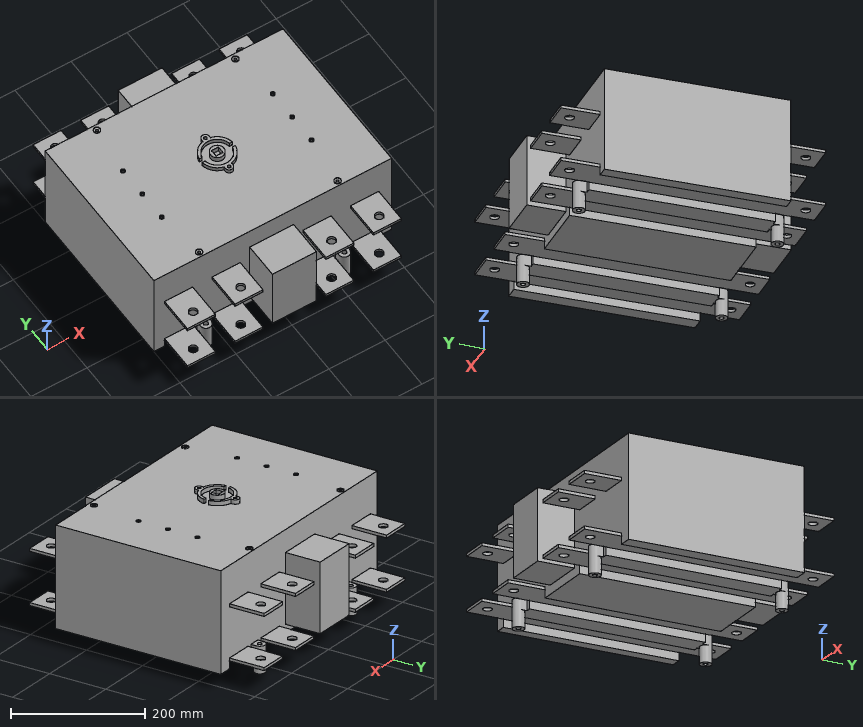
import cadquery as cq


body_length = 424.0
body_depth = 295.0
body_offset = 2.0
body_bottom = 27.5
body_top = 198.0
overall_depth = 419.0

bar_pitch = 85.0
inner_bar_x = 81.0
bar_positions = [side * x for side in (-1, 1) for x in (inner_bar_x, inner_bar_x + bar_pitch)]
bar_width = 50.0
bar_thickness = 5.0
lower_bar_bottom = 40.5
upper_bar_bottom = 129.7
bar_hole_diameter = 14.5
bar_hole_inset = 22.5

block_width = 78.5
block_bottom = 42.5
block_top = 160.3

post_x = 123.5
post_diameter = 19.0
post_y = (body_depth + post_diameter) / 2
post_top = lower_bar_bottom + bar_thickness
post_hole_diameter = 7.0

screw_y = 138.5
screw_head_diameter = 11.0
screw_head_depth = 1.3
screw_hole_diameter = 4.2
screw_hole_depth = 8.5
pin_hole_x = 133.5
pin_hole_pitch = 52.5
pin_head_diameter = 7.0
pin_head_depth = 1.3
pin_hole_diameter = 3.5
pin_hole_depth = 8.5

collar_height = 7.0
collar_outer_radius = 29.5
collar_inner_radius = 24.5
collar_gap = 8.0
ear_y = 32.2
ear_radius = 6.8
ear_hole_diameter = 5.0
shaft_radius = 12.0
shaft_height = 9.0
shaft_socket = 12.5


def block(x, width, depth, bottom, top):
    """Box centred on y = 0 between two heights."""
    return cq.Workplane("XY", origin=(x, 0, bottom)).rect(width, depth).extrude(top - bottom)


def cylinders(points, diameter, bottom, top):
    """Vertical cylinders at the given points between two heights."""
    return cq.Workplane("XY", origin=(0, 0, bottom)).pushPoints(points).circle(diameter / 2).extrude(top - bottom)


def corners(x, y):
    """Four points mirrored about both axes."""
    return [(sx * x, sy * y) for sx in (-1, 1) for sy in (-1, 1)]


def make_housing():
    """Box with a channel below each lower bar, plus the central block."""
    housing = block(body_offset, body_length, body_depth, body_bottom, body_top)
    for x in bar_positions:
        housing = housing.cut(block(x, bar_width, body_depth, body_bottom, lower_bar_bottom))
    return housing.union(block(0, block_width, overall_depth, block_bottom, block_top))


def make_bars():
    """Bars running through the housing, drilled near both ends."""
    hole_y = overall_depth / 2 - bar_hole_inset
    bars = cq.Workplane("XY")
    for bottom in (lower_bar_bottom, upper_bar_bottom):
        top = bottom + bar_thickness
        for x in bar_positions:
            bar = block(x, bar_width, overall_depth, bottom, top)
            holes = cylinders([(x, -hole_y), (x, hole_y)], bar_hole_diameter, bottom, top)
            bars = bars.union(bar.cut(holes))
    return bars


def make_posts():
    """Round posts, joined to the housing by webs above its underside."""
    points = corners(post_x, post_y)
    posts = cylinders(points, post_diameter, 0, post_top)
    for x in (-post_x, post_x):
        posts = posts.union(block(x, post_diameter, 2 * post_y, body_bottom, post_top))
    return posts.cut(cylinders(points, post_hole_diameter, 0, post_top))


def make_collar():
    """Ring with round-ended, straight-sided ears, split by a gap along x."""
    ears = [(0, -ear_y), (0, ear_y)]
    top = body_top + collar_height
    collar = cylinders([(0, 0)], 2 * collar_outer_radius, body_top, top)
    collar = collar.union(cylinders(ears, 2 * ear_radius, body_top, top))
    collar = collar.union(block(0, 2 * ear_radius, 2 * ear_y, body_top, top))
    collar = collar.cut(cylinders([(0, 0)], 2 * collar_inner_radius, body_top, top))
    collar = collar.cut(cylinders(ears, ear_hole_diameter, body_top, top))
    return collar.cut(block(0, 2 * collar_outer_radius, collar_gap, body_top, top))


def make_shaft():
    """Round shaft end with a square socket."""
    top = body_top + shaft_height
    shaft = cylinders([(0, 0)], 2 * shaft_radius, body_top, top)
    return shaft.cut(block(0, shaft_socket, shaft_socket, body_top, top))


def stepped_holes(points, head_diameter, head_depth, hole_diameter, hole_depth):
    """Cutters for counterbored holes; the depths are measured from the top face."""
    heads = cylinders(points, head_diameter, body_top - head_depth, body_top)
    return heads.union(cylinders(points, hole_diameter, body_top - hole_depth, body_top))


def make_top_holes():
    screws = corners(post_x, screw_y)
    pins = [(side * pin_hole_x, row * pin_hole_pitch) for side in (-1, 1) for row in (-1, 0, 1)]
    screw_holes = stepped_holes(
        screws, screw_head_diameter, screw_head_depth, screw_hole_diameter, screw_hole_depth
    )
    pin_holes = stepped_holes(pins, pin_head_diameter, pin_head_depth, pin_hole_diameter, pin_hole_depth)
    return screw_holes.union(pin_holes)


result = make_housing().union(make_bars()).union(make_posts())
result = result.cut(make_top_holes()).union(make_collar()).union(make_shaft())